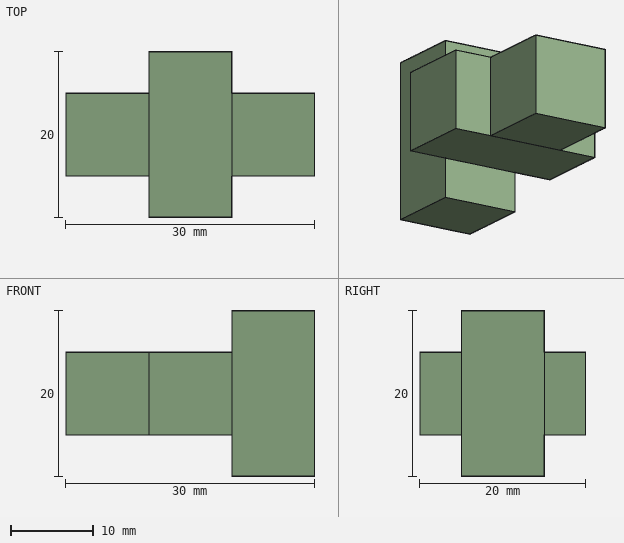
import cadquery as cq

total_length = 30.0
segment_count = 3
segment = total_length / segment_count
bar_length = 2 * segment


def centred_block(center_x, size_y, size_z):
    """Block one segment thick along X, centred on the X axis."""
    return cq.Workplane("XY").box(segment, size_y, size_z).translate((center_x, 0, 0))


end_cube = centred_block(-segment, segment, segment)

cross_bar = centred_block(0, bar_length, segment)

upright_bar = centred_block(segment, segment, bar_length)

result = cq.Compound.makeCompound([end_cube.val(), cross_bar.val(), upright_bar.val()])